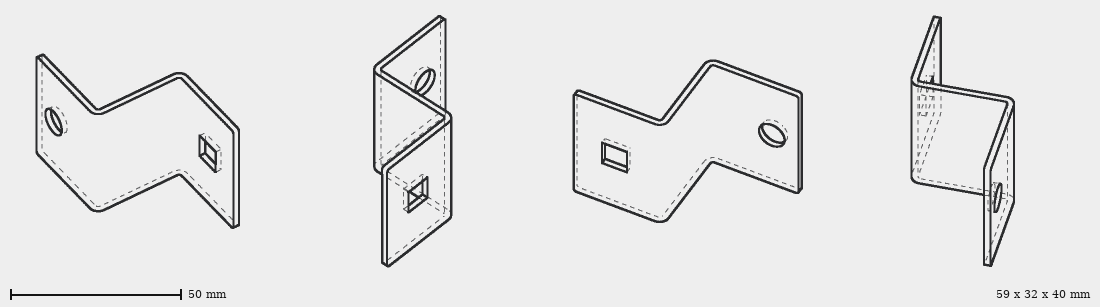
import cadquery as cq

length = 59.0
depth = 32.0
height = 40.0

thickness = 2.0
inner_bend_radius = 1.0
outer_bend_radius = inner_bend_radius + thickness
web_right = 31.0
web_left = web_right - thickness
corner_radius = 1.0

round_hole_diameter = 8.5
round_hole_x = 8.95
square_hole_side = 8.3
square_hole_x = 45.45


def make_bent_sheet():
    """Front flange, web and rear flange as one extruded profile with rounded bends."""
    profile = [
        (0, 0),
        (web_right, 0),
        (web_right, depth - thickness),
        (length, depth - thickness),
        (length, depth),
        (web_left, depth),
        (web_left, thickness),
        (0, thickness),
    ]
    sheet = cq.Workplane("XY").polyline(profile).close().extrude(height)

    outer_bends = [(web_right, 0), (web_left, depth)]
    inner_bends = [(web_left, thickness), (web_right, depth - thickness)]
    for bends, radius in ((outer_bends, outer_bend_radius), (inner_bends, inner_bend_radius)):
        for x, y in bends:
            edge = cq.selectors.NearestToPointSelector((x, y, height / 2))
            sheet = sheet.edges("|Z").edges(edge).fillet(radius)
    return sheet


def round_flange_corners(sheet):
    """Round the upper and lower corners at the free end of each flange."""
    for end_face in ("<X", ">X"):
        sheet = sheet.faces(end_face).edges("|Y").fillet(corner_radius)
    return sheet


def flange_opening(sketch, x, flange_y):
    """Cutter through the flange whose front face lies at flange_y."""
    cutter = sketch.extrude(-thickness)
    return cutter.translate((x, flange_y, height / 2))


round_hole = flange_opening(
    cq.Workplane("XZ").circle(round_hole_diameter / 2), round_hole_x, 0
)
square_hole = flange_opening(
    cq.Workplane("XZ").rect(square_hole_side, square_hole_side), square_hole_x, depth - thickness
)

result = round_flange_corners(make_bent_sheet()).cut(round_hole).cut(square_hole)